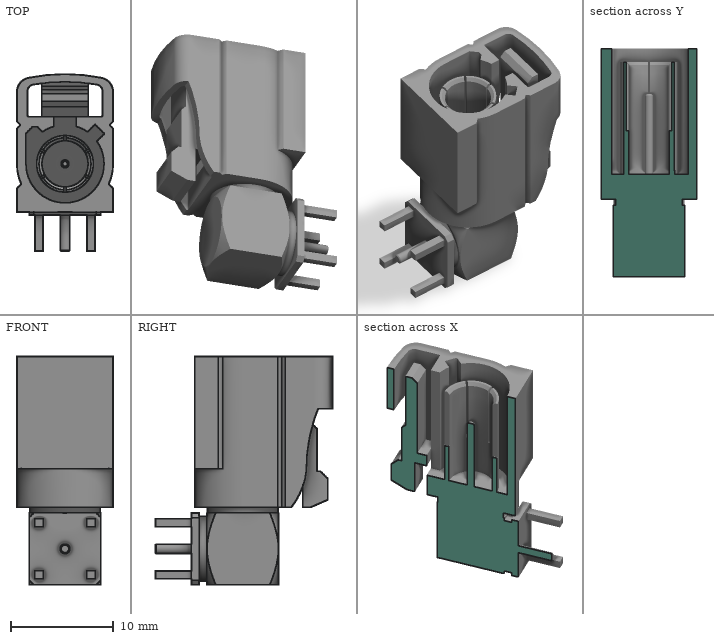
import cadquery as cq
import math


TOP_Z = 22.3
REAR_Y = 8.75
PIN_END_Y = -8.51

HOUSING_HALF_WIDTH = 4.7
HOUSING_BOTTOM_Z = 7.55
CROWN_RADIUS = 17.83
REAR_CORNER_RADIUS = 1.45
SIDE_GROOVE_Y = 3.8
SIDE_GROOVE_DEPTH = 0.35
FRONT_BLOCK_BOTTOM_Z = 11.32
FRONT_BLOCK_REAR_Y = -2.4
FRONT_BLOCK_BEVEL = 0.9

REAR_CUT_TOP = (7.35, 17.16)
REAR_CUT_UPPER_MID = (6.55, 14.55)
REAR_CUT_INFLECTION = (6.2, 11.08)
REAR_CUT_LOWER_MID = (5.68, 9.15)
REAR_CUT_BOTTOM_Y = 4.75

WINDOW_HALF_WIDTH = 3.65
WINDOW_FRONT_Y = 4.6
WINDOW_CROWN_WALL = 0.75
WINDOW_REAR_RADIUS = 0.67
WINDOW_FRONT_RADIUS = 0.13

CAVITY_RADIUS = 3.81
CAVITY_FLOOR_Z = 10.03
CENTRE_KEY_HALF_WIDTH = 1.11
CORNER_KEY_HALF_WIDTH = 0.65
CORNER_KEY_REACH = 4.8
CORNER_KEY_ANGLE = 45.0
LEFT_KEY_REAR_Y = 3.63

LATCH_HALF_WIDTH = 2.27
LATCH_TOP_Z = 21.73
LATCH_FRONT_Y = 5.57
LATCH_ARM_REAR_Y = 6.82
LATCH_TOP_BEVEL = 0.53
LATCH_PAD_REAR_Y = 7.25
LATCH_PAD_TOP_Z = 15.22
LATCH_THUMB_REAR_Y = 8.31
LATCH_THUMB_TOP_Z = 11.08
LATCH_THUMB_BEVEL = 0.74
LATCH_THUMB_FRONT_Y = 5.85
LATCH_FOOT_REAR_Y = 6.65
HINGE_BOTTOM_Z = 11.15
HINGE_TOP_Z = 12.48

SLEEVE_OUTER_RADIUS = 2.76
SLEEVE_INNER_RADIUS = 2.25
SLEEVE_LEAD_IN = 0.3
SLEEVE_TOP_Z = 20.95
SLEEVE_SLOT_COUNT = 6
SLEEVE_FIRST_SLOT_ANGLE = 90.0
SLEEVE_SLOT_WIDTH = 0.22
SLEEVE_SLOT_DEPTH = 6.69
CONTACT_RADIUS = 0.38
CONTACT_TOP_Z = 17.83
CONTACT_TIP_CHAMFER = 0.13

CUBE_SIZE = 7.02
CUBE_CHAMFER_CIRCLE = 3.45
CUBE_CHAMFER_ANGLE = 30.0
NECK_RADIUS = 3.45
COLLAR_RADIUS = 3.19

PLATE_REAR_Y = -4.25
PLATE_FRONT_Y = -5.02
PLATE_CORNER_CHAMFER = 0.47
LEG_OFFSET = 2.55
LEG_SIZE = 0.8
SIGNAL_PIN_RADIUS = 0.47
SIGNAL_PIN_CHAMFER = 0.1

CUBE_HALF = CUBE_SIZE / 2
ELBOW_Z = CUBE_HALF


def prism(sketch, bottom_z, top_z):
    """Extrude an outline drawn on the XY plane between two heights."""
    return sketch.extrude(top_z - bottom_z).translate((0, 0, bottom_z))


def crowned_outline(half_width, front_y, rear_y, crown_radius):
    """Rectangle whose rear side is an arc that is highest at X = 0."""
    side_y = rear_y - crown_radius + math.sqrt(crown_radius**2 - half_width**2)
    return (
        cq.Workplane("XY")
        .moveTo(-half_width, front_y)
        .lineTo(half_width, front_y)
        .lineTo(half_width, side_y)
        .threePointArc((0, rear_y), (-half_width, side_y))
        .close()
    )


def cylinder_toward_front(radius, rear_y, front_y):
    """Cylinder along the pin axis, from rear_y forward to front_y."""
    base = cq.Workplane("XZ", origin=(0, rear_y, ELBOW_Z))
    return base.circle(radius).extrude(rear_y - front_y)


def make_housing_shell():
    outline = crowned_outline(HOUSING_HALF_WIDTH, 0, REAR_Y, CROWN_RADIUS)
    shell = prism(outline, HOUSING_BOTTOM_Z, TOP_Z)
    shell = shell.edges("|Z").edges(">Y").fillet(REAR_CORNER_RADIUS)
    barrel = cq.Workplane("XY").circle(HOUSING_HALF_WIDTH)
    shell = shell.union(prism(barrel, HOUSING_BOTTOM_Z, TOP_Z))

    bevel_x = HOUSING_HALF_WIDTH - FRONT_BLOCK_BEVEL
    block = cq.Workplane("XY").polyline([
        (-HOUSING_HALF_WIDTH, -HOUSING_HALF_WIDTH),
        (HOUSING_HALF_WIDTH, -HOUSING_HALF_WIDTH),
        (HOUSING_HALF_WIDTH, FRONT_BLOCK_REAR_Y),
        (bevel_x, FRONT_BLOCK_REAR_Y + FRONT_BLOCK_BEVEL),
        (-bevel_x, FRONT_BLOCK_REAR_Y + FRONT_BLOCK_BEVEL),
        (-HOUSING_HALF_WIDTH, FRONT_BLOCK_REAR_Y),
    ]).close()
    shell = shell.union(prism(block, FRONT_BLOCK_BOTTOM_Z, TOP_Z))

    for side in (-1, 1):
        groove = cq.Workplane("XY").polyline([
            (side * HOUSING_HALF_WIDTH, SIDE_GROOVE_Y - SIDE_GROOVE_DEPTH),
            (side * (HOUSING_HALF_WIDTH - SIDE_GROOVE_DEPTH), SIDE_GROOVE_Y),
            (side * HOUSING_HALF_WIDTH, SIDE_GROOVE_Y + SIDE_GROOVE_DEPTH),
        ]).close()
        shell = shell.cut(prism(groove, HOUSING_BOTTOM_Z, TOP_Z))
    return shell


def make_rear_cut():
    return (
        cq.Workplane("YZ")
        .moveTo(REAR_Y, REAR_CUT_TOP[1])
        .lineTo(*REAR_CUT_TOP)
        .threePointArc(REAR_CUT_UPPER_MID, REAR_CUT_INFLECTION)
        .threePointArc(REAR_CUT_LOWER_MID, (REAR_CUT_BOTTOM_Y, HOUSING_BOTTOM_Z))
        .lineTo(REAR_Y, HOUSING_BOTTOM_Z)
        .close()
        .extrude(HOUSING_HALF_WIDTH, both=True)
    )


def make_window():
    outline = crowned_outline(
        WINDOW_HALF_WIDTH, WINDOW_FRONT_Y, REAR_Y - WINDOW_CROWN_WALL, CROWN_RADIUS - WINDOW_CROWN_WALL
    )
    window = prism(outline, HOUSING_BOTTOM_Z, TOP_Z)
    window = window.edges("|Z").edges(">Y").fillet(WINDOW_REAR_RADIUS)
    return window.edges("|Z").edges("<Y").fillet(WINDOW_FRONT_RADIUS)


def make_cavity():
    cavity = prism(cq.Workplane("XY").circle(CAVITY_RADIUS), CAVITY_FLOOR_Z, TOP_Z)

    centre_key = cq.Workplane("XY").rect(2 * CENTRE_KEY_HALF_WIDTH, WINDOW_FRONT_Y)
    centre_key = centre_key.extrude(TOP_Z - CAVITY_FLOOR_Z)
    cavity = cavity.union(centre_key.translate((0, WINDOW_FRONT_Y / 2, CAVITY_FLOOR_Z)))

    corner_key = cq.Workplane("XY").rect(CORNER_KEY_REACH, 2 * CORNER_KEY_HALF_WIDTH)
    corner_key = corner_key.extrude(TOP_Z - CAVITY_FLOOR_Z)
    corner_key = corner_key.translate((CORNER_KEY_REACH / 2, 0, CAVITY_FLOOR_Z))
    cavity = cavity.union(corner_key.rotate((0, 0, 0), (0, 0, 1), CORNER_KEY_ANGLE))

    bevel_sum = CORNER_KEY_REACH * math.sqrt(2)
    left_key = cq.Workplane("XY").polyline([
        (0, 0),
        (-CAVITY_RADIUS, 0),
        (-CAVITY_RADIUS, bevel_sum - CAVITY_RADIUS),
        (LEFT_KEY_REAR_Y - bevel_sum, LEFT_KEY_REAR_Y),
        (CORNER_KEY_HALF_WIDTH * math.sqrt(2) - LEFT_KEY_REAR_Y, LEFT_KEY_REAR_Y),
        (CORNER_KEY_HALF_WIDTH * math.sqrt(2), 0),
    ]).close()
    return cavity.union(prism(left_key, CAVITY_FLOOR_Z, TOP_Z))


def make_latch():
    pad_bevel = LATCH_PAD_REAR_Y - LATCH_ARM_REAR_Y
    lever = cq.Workplane("YZ").polyline([
        (LATCH_ARM_REAR_Y, LATCH_TOP_Z),
        (LATCH_FRONT_Y + LATCH_TOP_BEVEL, LATCH_TOP_Z),
        (LATCH_FRONT_Y, LATCH_TOP_Z - LATCH_TOP_BEVEL),
        (LATCH_FRONT_Y, HINGE_TOP_Z),
        (WINDOW_FRONT_Y, HINGE_TOP_Z),
        (WINDOW_FRONT_Y, HINGE_BOTTOM_Z),
        (LATCH_THUMB_FRONT_Y, HINGE_BOTTOM_Z),
        (LATCH_THUMB_FRONT_Y, HOUSING_BOTTOM_Z),
        (LATCH_FOOT_REAR_Y, HOUSING_BOTTOM_Z),
        (LATCH_THUMB_REAR_Y, HOUSING_BOTTOM_Z + LATCH_THUMB_BEVEL),
        (LATCH_THUMB_REAR_Y, LATCH_THUMB_TOP_Z - LATCH_THUMB_BEVEL),
        (LATCH_THUMB_REAR_Y - LATCH_THUMB_BEVEL, LATCH_THUMB_TOP_Z),
        (LATCH_PAD_REAR_Y, LATCH_THUMB_TOP_Z),
        (LATCH_PAD_REAR_Y, LATCH_PAD_TOP_Z),
        (LATCH_ARM_REAR_Y, LATCH_PAD_TOP_Z + pad_bevel),
    ]).close()
    return lever.extrude(LATCH_HALF_WIDTH, both=True)


def make_contacts():
    sleeve = cq.Workplane("XY").circle(SLEEVE_OUTER_RADIUS).circle(SLEEVE_INNER_RADIUS)
    sleeve = prism(sleeve, HOUSING_BOTTOM_Z, SLEEVE_TOP_Z)
    inner_rim = cq.selectors.RadiusNthSelector(0)
    sleeve = sleeve.faces(">Z").edges(inner_rim).chamfer(SLEEVE_LEAD_IN)

    slot = cq.Workplane("XY").box(
        SLEEVE_OUTER_RADIUS, SLEEVE_SLOT_WIDTH, SLEEVE_SLOT_DEPTH, centered=(False, True, False)
    ).translate((SLEEVE_INNER_RADIUS / 2, 0, SLEEVE_TOP_Z - SLEEVE_SLOT_DEPTH))
    for index in range(SLEEVE_SLOT_COUNT):
        angle = SLEEVE_FIRST_SLOT_ANGLE + index * 360 / SLEEVE_SLOT_COUNT
        sleeve = sleeve.cut(slot.rotate((0, 0, 0), (0, 0, 1), angle))

    contact = prism(cq.Workplane("XY").circle(CONTACT_RADIUS), HOUSING_BOTTOM_Z, CONTACT_TOP_Z)
    contact = contact.faces(">Z").chamfer(CONTACT_TIP_CHAMFER)
    return sleeve.union(contact)


def make_elbow():
    cube = cq.Workplane("XY").box(CUBE_SIZE, CUBE_SIZE, CUBE_SIZE, centered=(True, True, False))

    cone_radius = CUBE_SIZE
    cone_depth = (cone_radius - CUBE_CHAMFER_CIRCLE) * math.tan(math.radians(CUBE_CHAMFER_ANGLE))
    envelope = cq.Workplane("XY").polyline([
        (0, -CUBE_HALF),
        (CUBE_CHAMFER_CIRCLE, -CUBE_HALF),
        (cone_radius, cone_depth - CUBE_HALF),
        (cone_radius, CUBE_HALF - cone_depth),
        (CUBE_CHAMFER_CIRCLE, CUBE_HALF),
        (0, CUBE_HALF),
    ]).close().revolve(360, (0, 0, 0), (0, 1, 0))
    cube = cube.intersect(envelope.translate((0, 0, ELBOW_Z)))

    neck = prism(cq.Workplane("XY").circle(NECK_RADIUS), ELBOW_Z, HOUSING_BOTTOM_Z)
    collar = cylinder_toward_front(COLLAR_RADIUS, 0, PLATE_REAR_Y)
    return cube.union(neck).union(collar)


def make_plate_and_pins():
    base = cq.Workplane("XZ", origin=(0, PLATE_REAR_Y, ELBOW_Z))
    plate = base.rect(CUBE_SIZE, CUBE_SIZE).extrude(PLATE_REAR_Y - PLATE_FRONT_Y)
    plate = plate.edges("|Y").chamfer(PLATE_CORNER_CHAMFER)
    legs = base.rect(2 * LEG_OFFSET, 2 * LEG_OFFSET, forConstruction=True).vertices()
    legs = legs.rect(LEG_SIZE, LEG_SIZE).extrude(PLATE_REAR_Y - PIN_END_Y)
    signal_pin = cylinder_toward_front(SIGNAL_PIN_RADIUS, PLATE_REAR_Y, PIN_END_Y)
    signal_pin = signal_pin.faces("<Y").chamfer(SIGNAL_PIN_CHAMFER)
    return plate.union(legs).union(signal_pin)


housing = make_housing_shell().cut(make_rear_cut()).cut(make_window()).cut(make_cavity())
housing = housing.union(make_latch()).union(make_contacts())
result = housing.union(make_elbow()).union(make_plate_and_pins())